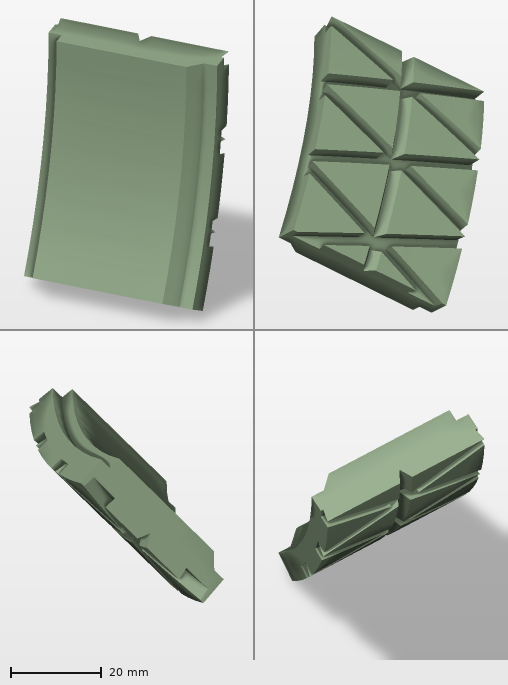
import cadquery as cq
import math

width = 40.0
outer_radius = 115.0
plate_thickness = 10.0
sweep_angle = 30.0
inner_radius = outer_radius - plate_thickness

margin_width = 3.1
step_height = 3.0
chamfer_width = 3.0
margin_radius = inner_radius + step_height

groove_depth = 3.0
center_groove_width = 3.1
cross_groove_height = 3.15
cross_pitch_angle = 10.6
cross_count = 3
groove_floor_radius = outer_radius - groove_depth
cutter_radius = outer_radius + plate_thickness

half_width = width / 2
half_center_groove = center_groove_width / 2


def sweep_around_axis(points, angle):
    """Revolve an (X, radius) outline downwards from the top plane."""
    profile = cq.Workplane("XY").polyline(points).close()
    return profile.revolve(angle, (0, 0, 0), (-1, 0, 0))


def make_plate():
    left_step = -half_width + margin_width
    chamfer_foot = half_width - margin_width
    return sweep_around_axis(
        [
            (-half_width, margin_radius),
            (left_step, margin_radius),
            (left_step, inner_radius),
            (chamfer_foot - chamfer_width, inner_radius),
            (chamfer_foot, margin_radius),
            (half_width, margin_radius),
            (half_width, outer_radius),
            (half_center_groove, outer_radius),
            (0, groove_floor_radius),
            (-half_center_groove, outer_radius),
            (-half_width, outer_radius),
        ],
        sweep_angle,
    )


def make_diagonal(side, half_span, middle_angle):
    """Diagonal band that descends from the given side (-1 left, +1 right)."""
    start_x = side * half_width
    band = (
        cq.Workplane("XZ")
        .polyline(
            [
                (start_x, half_span),
                (start_x, half_span - cross_groove_height),
                (-start_x, -half_span),
                (-start_x, -half_span + cross_groove_height),
            ]
        )
        .close()
        .extrude(-cutter_radius)
    )
    return band.rotate((0, 0, 0), (1, 0, 0), -middle_angle)


def make_groove_shell():
    """Layer outside the groove floor, long enough to run past both plate ends."""
    cutter_length = 2 * cutter_radius
    outside = cq.Workplane("YZ").circle(cutter_radius).extrude(cutter_length, both=True)
    inside = cq.Workplane("YZ").circle(groove_floor_radius).extrude(cutter_length, both=True)
    return outside.cut(inside)


result = make_plate()
groove_shell = make_groove_shell()
cross_half_span = outer_radius * math.sin(math.radians(cross_pitch_angle / 2))
for cross_index in range(cross_count):
    cross_angle = (cross_index + 0.5) * cross_pitch_angle
    for side in (-1, 1):
        diagonal = make_diagonal(side, cross_half_span, cross_angle)
        result = result.cut(diagonal.intersect(groove_shell))